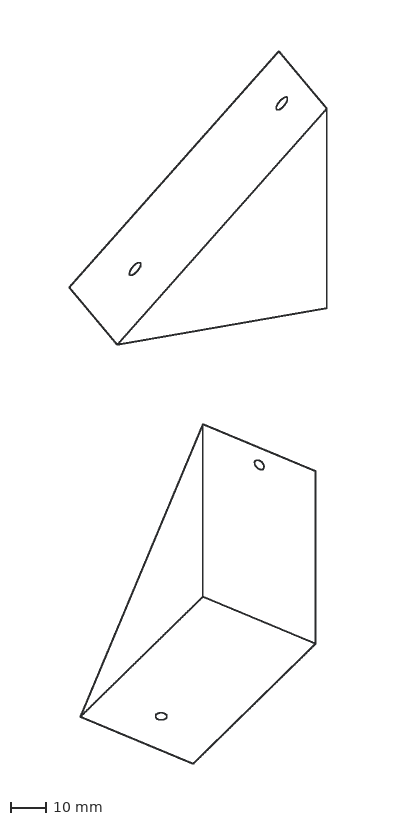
import cadquery as cq

width = 38.1
leg = 63.5
hole_diameter = 3.2
wall_hole_height = 57.15
base_hole_offset = 12.7

wedge = (
    cq.Workplane("YZ")
    .polyline([(0, 0), (leg, 0), (leg, leg)])
    .close()
    .extrude(width / 2, both=True)
)


def drill(start, direction):
    """Cylinder long enough to pass right through the wedge."""
    return cq.Solid.makeCylinder(hole_diameter / 2, leg, cq.Vector(*start), cq.Vector(*direction))


wall_hole = drill((0, 0, wall_hole_height), (0, 1, 0))

base_hole = drill((0, base_hole_offset, 0), (0, 0, 1))

result = wedge.cut(cq.Workplane(wall_hole)).cut(cq.Workplane(base_hole))